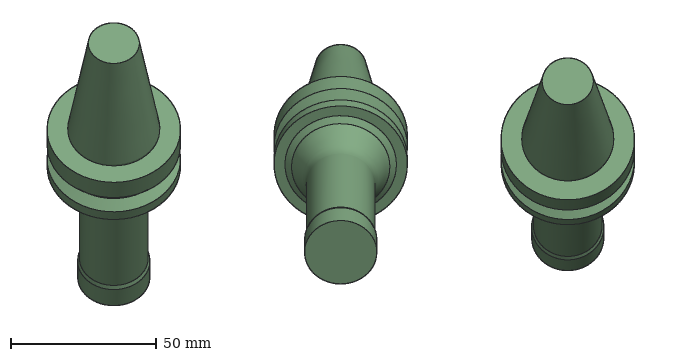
import cadquery as cq
import math

total_height = 133.4

collar_radius = 25.0 / 2
collar_height = 9.2
collar_cone_top = 10.8
shank_radius = 23.7 / 2
shank_top = 49.1

flare_seam = 53.9
flare_seam_radius = 13.0
flare_top = 61.5
flare_top_radius = 17.0
neck_cone_radius = 19.2

flange_radius = 46.0 / 2
flange_bottom = 63.1
flange_top = 84.3
groove_radius = 38.0 / 2
groove_bottom = 67.5
groove_floor_bottom = 69.8
groove_top = 75.6
groove_floor_top = groove_top - (groove_floor_bottom - groove_bottom)

taper_radius = 31.7 / 2
taper_bottom = 85.0
taper_slope = 7 / 48
taper_top_radius = taper_radius - (total_height - taper_bottom) * taper_slope

root_height = flare_seam - shank_top
root_growth = flare_seam_radius - shank_radius
root_arc_radius = (root_height**2 + root_growth**2) / (2 * root_growth)
half_angle = math.asin(root_height / root_arc_radius) / 2
root_middle = (
    shank_radius + root_arc_radius * (1 - math.cos(half_angle)),
    shank_top + root_arc_radius * math.sin(half_angle),
)

profile = (
    cq.Workplane("XZ")
    .lineTo(collar_radius, 0)
    .lineTo(collar_radius, collar_height)
    .lineTo(shank_radius, collar_cone_top)
    .lineTo(shank_radius, shank_top)
    .threePointArc(root_middle, (flare_seam_radius, flare_seam))
    .tangentArcPoint((flare_top_radius, flare_top), relative=False)
    .lineTo(neck_cone_radius, flange_bottom)
    .lineTo(flange_radius, flange_bottom)
    .lineTo(flange_radius, groove_bottom)
    .lineTo(groove_radius, groove_floor_bottom)
    .lineTo(groove_radius, groove_floor_top)
    .lineTo(flange_radius, groove_top)
    .lineTo(flange_radius, flange_top)
    .lineTo(taper_radius, flange_top)
    .lineTo(taper_radius, taper_bottom)
    .lineTo(taper_top_radius, total_height)
    .lineTo(0, total_height)
    .close()
)

result = profile.revolve(360, (0, 0, 0), (0, 1, 0))